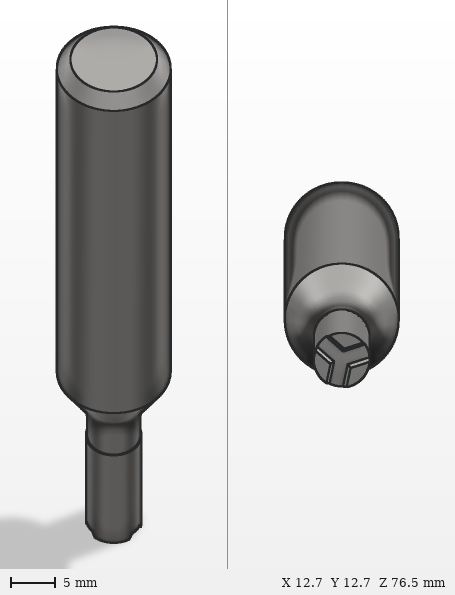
import cadquery as cq
import math

total_length = 76.5
shank_diameter = 12.7
neck_diameter = 6.0
tip_diameter = 6.2

tip_length = 14.45
neck_length = 3.0
taper_length = 7.6
end_chamfer = 1.5

cone_angle = 29.5

notch_count = 3
notch_mouth_width = 2.3
notch_top_width = 1.5
notch_depth = 0.7
first_notch_angle = -90.0

shank_radius = shank_diameter / 2
neck_radius = neck_diameter / 2
tip_radius = tip_diameter / 2
bottom_z = -total_length / 2
top_z = total_length / 2
tip_top_z = bottom_z + tip_length
blend_start_z = tip_top_z + neck_length
cone_top_z = blend_start_z + taper_length

cone_radians = math.radians(cone_angle)
radial_rise = shank_radius - neck_radius
blend_radius = (taper_length - radial_rise / math.tan(cone_radians)) / math.tan(cone_radians / 2)


def blend_point(angle):
    """Radius and height on the blend arc where its slope has turned by the angle."""
    radius = neck_radius + blend_radius * (1 - math.cos(angle))
    height = blend_start_z + blend_radius * math.sin(angle)
    return radius, height


def make_holder():
    """Chamfered shank tapering down through a cone and a blend to the neck."""
    return (
        cq.Workplane("XZ")
        .moveTo(0, tip_top_z)
        .lineTo(neck_radius, tip_top_z)
        .lineTo(neck_radius, blend_start_z)
        .threePointArc(blend_point(cone_radians / 2), blend_point(cone_radians))
        .lineTo(shank_radius, cone_top_z)
        .lineTo(shank_radius, top_z - end_chamfer)
        .lineTo(shank_radius - end_chamfer, top_z)
        .lineTo(0, top_z)
        .close()
        .revolve(360, (0, 0), (0, 1))
    )


def make_notch(angle):
    """Cutter from the axis out past the rim, its sides leaning in towards the top."""
    half_mouth = notch_mouth_width / 2
    half_top = notch_top_width / 2
    notch_top_z = bottom_z + notch_depth
    return (
        cq.Workplane("YZ")
        .moveTo(-half_mouth, bottom_z)
        .lineTo(-half_top, notch_top_z)
        .lineTo(half_top, notch_top_z)
        .lineTo(half_mouth, bottom_z)
        .close()
        .extrude(tip_diameter)
        .rotate((0, 0, 0), (0, 0, 1), angle)
    )


def make_tip():
    """Cylindrical tip with evenly spaced notches that meet on the axis."""
    tip = cq.Workplane("XY").workplane(offset=bottom_z).circle(tip_radius).extrude(tip_length)
    for index in range(notch_count):
        tip = tip.cut(make_notch(first_notch_angle + index * 360 / notch_count))
    return tip


holder = make_holder()
tip = make_tip()

result = cq.Compound.makeCompound([holder.val(), tip.val()])